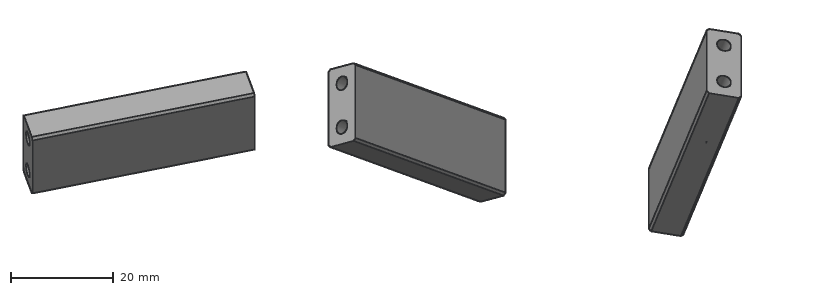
import cadquery as cq

width = 7.0
length = 45.0
height = 16.0

edge_chamfer = 0.5

hole_diameter = 2.8
hole_spacing = 9.0


def make_bar():
    """Rectangular bar along Y with its long edges chamfered."""
    return cq.Workplane("XY").box(width, length, height).edges("|Y").chamfer(edge_chamfer)


def drill_holes(bar):
    """Drill both lengthwise holes through the bar."""
    hole_centers = [(0, side * hole_spacing / 2) for side in (-1, 1)]
    return bar.faces("<Y").workplane().pushPoints(hole_centers).hole(hole_diameter)


result = drill_holes(make_bar())